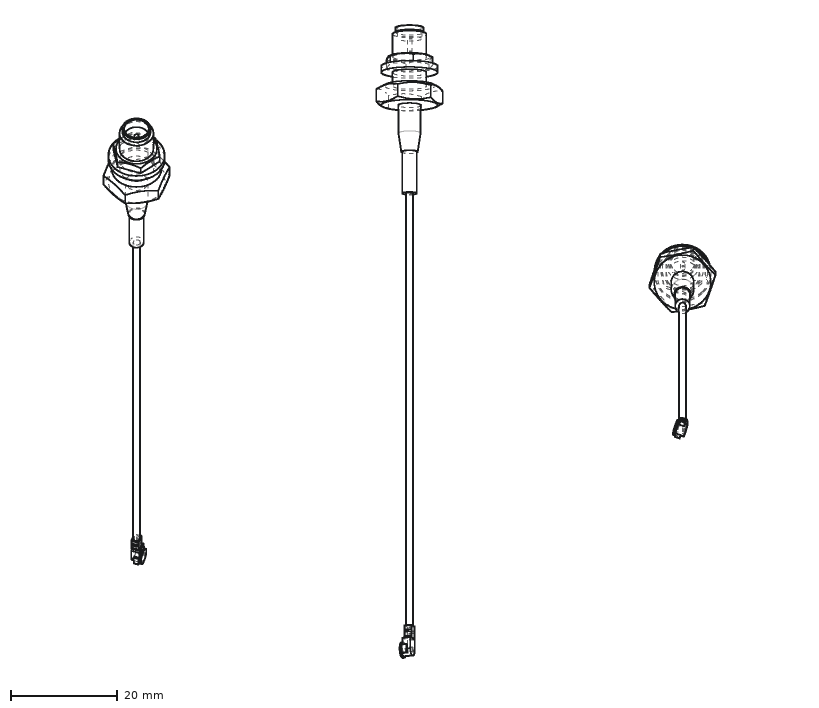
import cadquery as cq
import math


TOTAL_LENGTH = 120.7
LIP_BOTTOM = TOTAL_LENGTH - 0.8
SHOULDER_BOTTOM = LIP_BOTTOM - 0.4
BODY_HEX_TOP = SHOULDER_BOTTOM - 4.3
FLANGE_TOP = BODY_HEX_TOP - 1.8
FLANGE_BOTTOM = FLANGE_TOP - 1.2
NUT_TOP = FLANGE_BOTTOM - 2.5
NUT_BOTTOM = NUT_TOP - 3.7
FERRULE_BOTTOM = NUT_BOTTOM - 5.3
TAPER_BOTTOM = FERRULE_BOTTOM - 3.6
SLEEVE_BOTTOM = TAPER_BOTTOM - 8.0

LIP_DIAMETER = 5.3
BODY_DIAMETER = 6.4
FLANGE_DIAMETER = 10.6
FERRULE_DIAMETER = 4.2
TAPER_END_DIAMETER = 3.1
SLEEVE_DIAMETER = 2.8
CABLE_DIAMETER = 1.3

BORE_DIAMETER = 4.6
BORE_DEPTH = 2.0
CONTACT_DIAMETER = 0.9
CONTACT_DEPTH = 2.4

BODY_HEX_ANGLE = 0
NUT_ANGLE = 30
BODY_HEX_FLATS = 8.1
BODY_HEX_TOP_FACE_DIAMETER = 7.7
NUT_FLATS = 11.0
NUT_TOP_FACE_DIAMETER = 9.4
NUT_BOTTOM_FACE_DIAMETER = 10.6
CHAMFER_ANGLE = 28.0

RIM_DIAMETER = 3.0
RIM_THICKNESS = 0.2
RIM_FACE_X = 1.5
SHELL_DIAMETER = 2.4
PLUG_BACK_X = -0.6
PLUG_AXIS_Z = RIM_DIAMETER / 2
NECK_WIDTH = 2.5
NECK_TOP = 3.6
NECK_FRONT_X = 1.0
CLAMP_WIDTH = 3.3
CLAMP_BACK_X = 0.0
CLAMP_BOTTOM = 0.7
CLAMP_TOP = 2.3
CRIMP_WIDTH = 1.9
CRIMP_TOP = 6.0
CRIMP_BAND_HEIGHT = 0.8
CRIMP_HALF_DEPTH = 0.7
CRIMP_TO_NECK_GAP = 0.4
CRIMP_CORE_WIDTH = 1.6
CRIMP_FILLET = 0.3


def cylinder(diameter, bottom, top):
    """Round bar on the Z axis between two levels."""
    return cq.Workplane("XY").workplane(offset=bottom).circle(diameter / 2).extrude(top - bottom)


def cross_cylinder(diameter, start_x, end_x):
    """Round bar on the plug's mating axis, parallel to X."""
    section = cq.Workplane("YZ").workplane(offset=start_x).center(0, PLUG_AXIS_Z)
    return section.circle(diameter / 2).extrude(end_x - start_x)


def block(start_x, end_x, width, bottom, top):
    """Box centred on Y = 0 between two X positions and two levels."""
    size = (end_x - start_x, width, top - bottom)
    return cq.Workplane("XY").box(*size, centered=(False, True, False)).translate((start_x, 0, bottom))


def turn(profile):
    """Solid of revolution about the Z axis from (radius, level) points."""
    return cq.Workplane("XZ").polyline(profile).close().revolve(360, (0, 0), (0, 1))


def hexagon(flats, bottom, top, angle, top_face, bottom_face=None):
    """Hexagonal prism whose corners are turned down by cones that leave round end faces."""
    corner_diameter = flats / math.cos(math.pi / 6)
    corner_radius = corner_diameter / 2
    slope = math.tan(math.radians(CHAMFER_ANGLE))
    top_drop = (corner_radius - top_face / 2) * slope
    envelope = [(0, bottom)]
    if bottom_face is None:
        envelope.append((corner_radius, bottom))
    else:
        bottom_rise = (corner_radius - bottom_face / 2) * slope
        envelope += [(bottom_face / 2, bottom), (corner_radius, bottom + bottom_rise)]
    envelope += [(corner_radius, top - top_drop), (top_face / 2, top), (0, top)]
    prism = cq.Workplane("XY").workplane(offset=bottom).polygon(6, corner_diameter).extrude(top - bottom)
    return prism.rotate((0, 0, 0), (0, 0, 1), angle).intersect(turn(envelope))


def make_jack():
    """Bulkhead jack with its body hexagon, flange, nut and recessed mating face."""
    barrel = [
        (0, NUT_BOTTOM),
        (BODY_DIAMETER / 2, NUT_BOTTOM),
        (BODY_DIAMETER / 2, SHOULDER_BOTTOM),
        (LIP_DIAMETER / 2, LIP_BOTTOM),
        (LIP_DIAMETER / 2, TOTAL_LENGTH),
        (0, TOTAL_LENGTH),
    ]
    jack = turn(barrel)
    body_hex = hexagon(BODY_HEX_FLATS, FLANGE_TOP, BODY_HEX_TOP, BODY_HEX_ANGLE, BODY_HEX_TOP_FACE_DIAMETER)
    jack = jack.union(body_hex)
    jack = jack.union(cylinder(FLANGE_DIAMETER, FLANGE_BOTTOM, FLANGE_TOP))
    nut_faces = (NUT_TOP_FACE_DIAMETER, NUT_BOTTOM_FACE_DIAMETER)
    nut = hexagon(NUT_FLATS, NUT_BOTTOM, NUT_TOP, NUT_ANGLE, *nut_faces)
    jack = jack.union(nut)
    bore_floor = TOTAL_LENGTH - BORE_DEPTH
    jack = jack.cut(cylinder(BORE_DIAMETER, bore_floor, TOTAL_LENGTH))
    return jack.cut(cylinder(CONTACT_DIAMETER, bore_floor - CONTACT_DEPTH, bore_floor))


def make_cable():
    """Ferrule, tapered sleeve end, sleeve and cable as one turned profile."""
    profile = [
        (0, NUT_BOTTOM),
        (FERRULE_DIAMETER / 2, NUT_BOTTOM),
        (FERRULE_DIAMETER / 2, FERRULE_BOTTOM),
        (TAPER_END_DIAMETER / 2, TAPER_BOTTOM),
        (SLEEVE_DIAMETER / 2, TAPER_BOTTOM),
        (SLEEVE_DIAMETER / 2, SLEEVE_BOTTOM),
        (CABLE_DIAMETER / 2, SLEEVE_BOTTOM),
        (CABLE_DIAMETER / 2, CRIMP_TOP),
        (0, CRIMP_TOP),
    ]
    return turn(profile)


def make_plug():
    """Right-angle snap-on plug: round shell with a rim, a square neck, side clamps and two crimp bands."""
    plug = cross_cylinder(SHELL_DIAMETER, PLUG_BACK_X, RIM_FACE_X)
    plug = plug.union(cross_cylinder(RIM_DIAMETER, RIM_FACE_X - RIM_THICKNESS, RIM_FACE_X))
    plug = plug.union(block(PLUG_BACK_X, NECK_FRONT_X, NECK_WIDTH, PLUG_AXIS_Z, NECK_TOP))
    plug = plug.union(block(CLAMP_BACK_X, NECK_FRONT_X, CLAMP_WIDTH, CLAMP_BOTTOM, CLAMP_TOP))
    plug = plug.union(block(-CRIMP_HALF_DEPTH, CRIMP_HALF_DEPTH, CRIMP_CORE_WIDTH, NECK_TOP, CRIMP_TOP))
    for band_bottom in (NECK_TOP + CRIMP_TO_NECK_GAP, CRIMP_TOP - CRIMP_BAND_HEIGHT):
        band_top = band_bottom + CRIMP_BAND_HEIGHT
        band = block(-CRIMP_HALF_DEPTH, CRIMP_HALF_DEPTH, CRIMP_WIDTH, band_bottom, band_top)
        plug = plug.union(band.edges("|Z").fillet(CRIMP_FILLET))
    return plug


result = make_jack().union(make_cable()).union(make_plug())